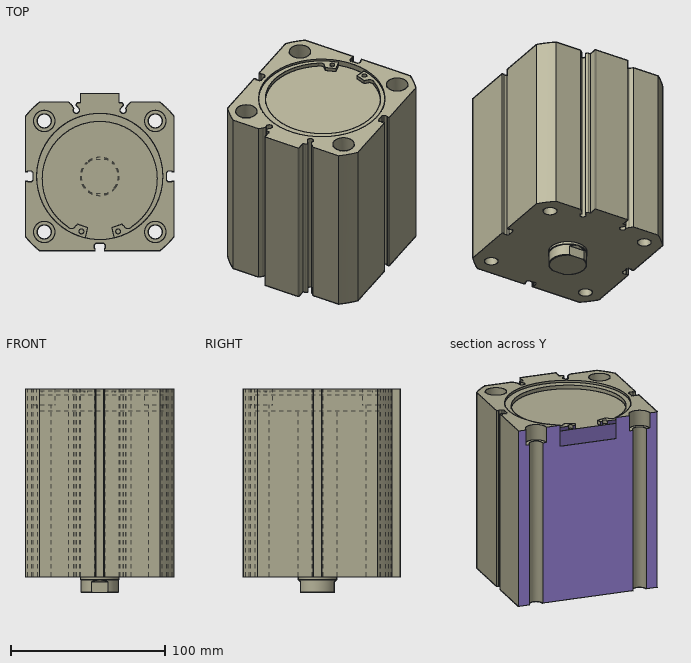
import cadquery as cq
import math


TOTAL_HEIGHT = 132.0
ROD_STICK_OUT = 10.0
HOUSING_HEIGHT = TOTAL_HEIGHT - ROD_STICK_OUT

WIDTH = 96.5
DEPTH_WITH_RAIL = 102.0
HALF_WIDTH = WIDTH / 2
CORNER_RADIUS = 62.0
RAIL_HEIGHT = DEPTH_WITH_RAIL - WIDTH
RAIL_HALF_WIDTH = 12.5
RAIL_EDGE_FILLET = 0.4

GROOVE_MOUTH = 6.0
GROOVE_WIDTH = 6.9
GROOVE_DEPTH = 4.9
GROOVE_LIP = 1.6
GROOVE_FLOOR_CHAMFER = 0.9

CHANNEL_ROOT_RADIUS = 2.0
CHANNEL_ROOT = (15.2, 42.9)
SHOULDER_TOP = 47.8
LEDGE_END = (14.1, SHOULDER_TOP)
LEDGE_NOSE_MIDDLE = (15.2, 47.0)
LEDGE_NOSE_END = (15.2, 46.0)
INNER_WALL_FOOT = (13.9, 44.4)
OUTER_WALL_FOOT = (16.8, 44.1)
OUTER_WALL_BEND = (18.0, 46.1)
OUTER_WALL_TOP = (20.2, HALF_WIDTH)

HOLE_PITCH = 72.0
HOLE_DIAMETER = 9.0
COUNTERBORE_DIAMETER = 13.9
COUNTERBORE_DEPTH = 10.5

BORE_RADIUS = 40.9
RING_RECESS = 1.5
RING_THICKNESS = 2.5
CAP_THICKNESS = 10.5
CAP_TOP = HOUSING_HEIGHT - RING_RECESS - RING_THICKNESS
CAP_BOTTOM = CAP_TOP - CAP_THICKNESS

RING_INNER_DIAMETER = 74.6
RING_INNER_RADIUS = RING_INNER_DIAMETER / 2
RING_INNER_SHIFT = -1.6
EAR_NOSE_RADIUS = 34.0
EAR_START_ANGLE = 13.3
EAR_END_ANGLE = 25.0
EAR_ROOT_START = (16.6, -33.3)
EAR_ROOT_MIDDLE = (18.5, -33.8)
EAR_ROOT_END_X = 20.6
EAR_HOLE = (11.9, -35.6)
EAR_HOLE_DIAMETER = 3.2

ROD_RADIUS = 12.5
ROD_SHOULDER_BOTTOM = -2.0
ROD_TIP_RADIUS = 12.3
ROD_TIP_CHAMFER = 0.4
ACROSS_FLATS = 22.0
FLAT_HALF_WIDTH = ACROSS_FLATS / 2
FLAT_TOP = -3.2


def t_groove(angle):
    """T-shaped groove cutter along the -Y side, turned about Z by the angle."""
    half_mouth = GROOVE_MOUTH / 2
    half_width = GROOVE_WIDTH / 2
    face = -HALF_WIDTH
    half_groove = (
        cq.Workplane("XY")
        .moveTo(0, face)
        .lineTo(half_mouth, face)
        .lineTo(half_mouth, face + GROOVE_LIP)
        .lineTo(half_width, face + GROOVE_LIP)
        .lineTo(half_width, face + GROOVE_DEPTH - GROOVE_FLOOR_CHAMFER)
        .lineTo(half_width - GROOVE_FLOOR_CHAMFER, face + GROOVE_DEPTH)
        .lineTo(0, face + GROOVE_DEPTH)
        .close()
        .extrude(HOUSING_HEIGHT)
    )
    groove = half_groove.union(half_groove.mirror("YZ"))
    return groove.rotate((0, 0, 0), (0, 0, 1), angle)


def rail_channel():
    """Undercut channel cutter on the +X side of the rail."""
    throat = (
        cq.Workplane("XY")
        .moveTo(RAIL_HALF_WIDTH, HALF_WIDTH)
        .lineTo(RAIL_HALF_WIDTH, SHOULDER_TOP)
        .lineTo(*LEDGE_END)
        .threePointArc(LEDGE_NOSE_MIDDLE, LEDGE_NOSE_END)
        .lineTo(*INNER_WALL_FOOT)
        .lineTo(*CHANNEL_ROOT)
        .lineTo(*OUTER_WALL_FOOT)
        .lineTo(*OUTER_WALL_BEND)
        .lineTo(*OUTER_WALL_TOP)
        .close()
        .extrude(HOUSING_HEIGHT)
    )
    root = cq.Workplane("XY").center(*CHANNEL_ROOT).circle(CHANNEL_ROOT_RADIUS).extrude(HOUSING_HEIGHT)
    return throat.union(root)


def make_housing():
    square = cq.Workplane("XY").rect(2 * HALF_WIDTH, 2 * HALF_WIDTH).extrude(HOUSING_HEIGHT)
    body = square.intersect(cq.Workplane("XY").circle(CORNER_RADIUS).extrude(HOUSING_HEIGHT))

    rail = (
        cq.Workplane("XY")
        .rect(2 * RAIL_HALF_WIDTH, 2 * RAIL_HEIGHT)
        .extrude(HOUSING_HEIGHT)
        .translate((0, HALF_WIDTH, 0))
        .edges("|Z and >Y")
        .fillet(RAIL_EDGE_FILLET)
    )
    body = body.union(rail)

    channel = rail_channel()
    body = body.cut(channel).cut(channel.mirror("YZ"))

    for angle in (-90, 0, 90):
        body = body.cut(t_groove(angle))

    body = (
        body.faces(">Z")
        .workplane(origin=(0, 0, HOUSING_HEIGHT))
        .rect(HOLE_PITCH, HOLE_PITCH, forConstruction=True)
        .vertices()
        .cboreHole(HOLE_DIAMETER, COUNTERBORE_DIAMETER, COUNTERBORE_DEPTH)
    )

    bore = cq.Workplane("XY", origin=(0, 0, CAP_BOTTOM)).circle(BORE_RADIUS).extrude(HOUSING_HEIGHT)
    rod_hole = cq.Workplane("XY").circle(ROD_RADIUS).extrude(CAP_BOTTOM)
    return body.cut(bore).cut(rod_hole)


def make_end_cap():
    return cq.Workplane("XY", origin=(0, 0, CAP_BOTTOM)).circle(BORE_RADIUS).extrude(CAP_THICKNESS)


def from_minus_y(radius, degrees):
    """Point at a distance from the bore axis, turned from -Y toward +X."""
    angle = math.radians(degrees)
    return radius * math.sin(angle), -radius * math.cos(angle)


def mirrored(point):
    """The same point on the other side of the YZ plane."""
    return -point[0], point[1]


def make_retaining_ring():
    gap_outer = from_minus_y(BORE_RADIUS, EAR_START_ANGLE)
    gap_inner = from_minus_y(EAR_NOSE_RADIUS, EAR_START_ANGLE)
    nose_end = from_minus_y(EAR_NOSE_RADIUS, EAR_END_ANGLE)
    root_end_drop = math.sqrt(RING_INNER_RADIUS**2 - EAR_ROOT_END_X**2)
    root_end = (EAR_ROOT_END_X, RING_INNER_SHIFT - root_end_drop)

    ring = (
        cq.Workplane("XY", origin=(0, 0, CAP_TOP))
        .moveTo(*gap_outer)
        .lineTo(*gap_inner)
        .lineTo(*nose_end)
        .lineTo(*EAR_ROOT_START)
        .threePointArc(EAR_ROOT_MIDDLE, root_end)
        .threePointArc((0, RING_INNER_SHIFT + RING_INNER_RADIUS), mirrored(root_end))
        .threePointArc(mirrored(EAR_ROOT_MIDDLE), mirrored(EAR_ROOT_START))
        .lineTo(*mirrored(nose_end))
        .lineTo(*mirrored(gap_inner))
        .lineTo(*mirrored(gap_outer))
        .threePointArc((0, BORE_RADIUS), gap_outer)
        .close()
        .extrude(RING_THICKNESS)
    )
    ear_holes = (
        cq.Workplane("XY", origin=(0, 0, CAP_TOP))
        .pushPoints([EAR_HOLE, mirrored(EAR_HOLE)])
        .circle(EAR_HOLE_DIAMETER / 2)
        .extrude(RING_THICKNESS)
    )
    return ring.cut(ear_holes)


def make_rod():
    shoulder_chamfer = ROD_RADIUS - ROD_TIP_RADIUS
    rod = (
        cq.Workplane("XZ")
        .moveTo(0, CAP_BOTTOM)
        .lineTo(0, -ROD_STICK_OUT)
        .lineTo(ROD_TIP_RADIUS - ROD_TIP_CHAMFER, -ROD_STICK_OUT)
        .lineTo(ROD_TIP_RADIUS, -ROD_STICK_OUT + ROD_TIP_CHAMFER)
        .lineTo(ROD_TIP_RADIUS, ROD_SHOULDER_BOTTOM)
        .lineTo(ROD_RADIUS, ROD_SHOULDER_BOTTOM + shoulder_chamfer)
        .lineTo(ROD_RADIUS, CAP_BOTTOM)
        .close()
        .revolve(360, (0, 0), (0, 1))
    )

    slope = ROD_RADIUS - FLAT_HALF_WIDTH
    flat_cutter = (
        cq.Workplane("YZ")
        .moveTo(FLAT_HALF_WIDTH, -ROD_STICK_OUT)
        .lineTo(FLAT_HALF_WIDTH, FLAT_TOP)
        .lineTo(FLAT_HALF_WIDTH + slope, FLAT_TOP + slope)
        .lineTo(FLAT_HALF_WIDTH + slope, -ROD_STICK_OUT)
        .close()
        .extrude(ROD_RADIUS, both=True)
    )
    return rod.cut(flat_cutter).cut(flat_cutter.mirror("XZ"))


housing = make_housing()
end_cap = make_end_cap()
retaining_ring = make_retaining_ring()
rod = make_rod()

result = cq.Compound.makeCompound([housing.val(), end_cap.val(), retaining_ring.val(), rod.val()])